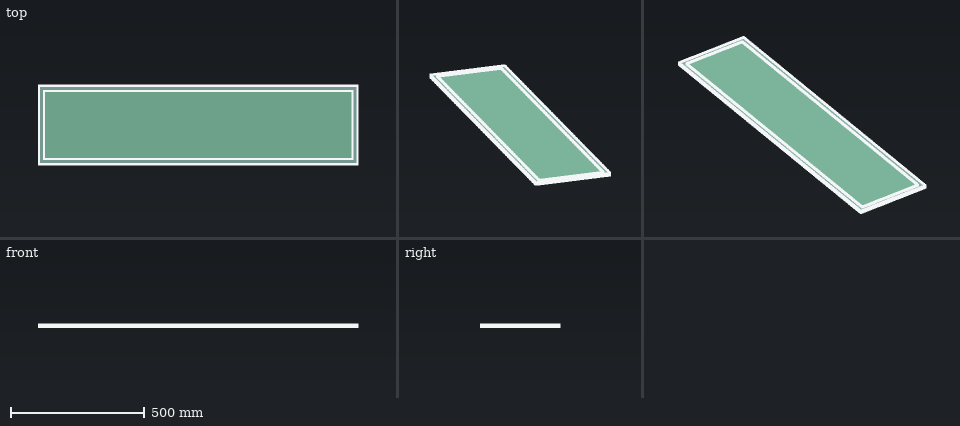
import cadquery as cq

LENGTH = 1195.0
WIDTH = 295.0
THICKNESS = 9.0

FRAME_WIDTH = 20.0
RECESS_DEPTH = 3.0


def make_panel():
    """Flat rectangular panel standing on the XY plane."""
    return cq.Workplane("XY").box(LENGTH, WIDTH, THICKNESS, centered=(True, True, False))


def cut_recess(panel):
    """Sink the area inside the frame below the top face."""
    recess_length = LENGTH - 2 * FRAME_WIDTH
    recess_width = WIDTH - 2 * FRAME_WIDTH
    return panel.faces(">Z").workplane().rect(recess_length, recess_width).cutBlind(-RECESS_DEPTH)


result = cut_recess(make_panel())